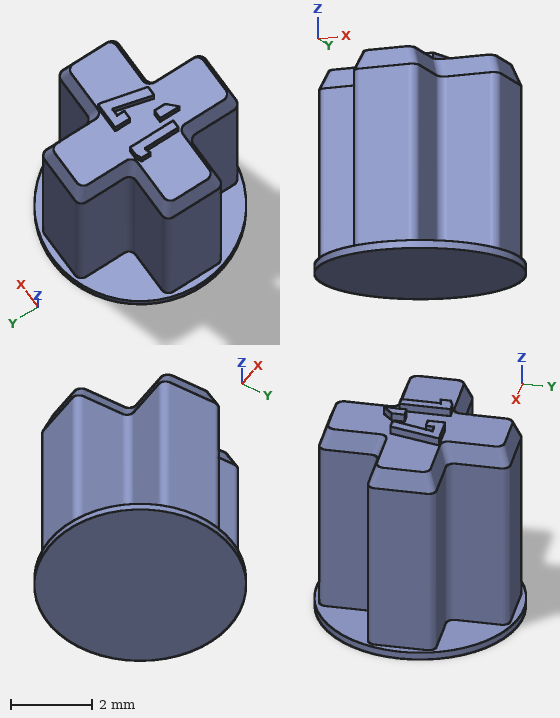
import cadquery as cq

total_height = 5.4
disc_diameter = 5.21
disc_thickness = 0.2
cross_span = 4.795
arm_width = 1.715
corner_radius = 0.2
taper_height = 0.5
taper_inset = 0.185
mark_height = 0.2

cross_top = total_height - mark_height
taper_base = cross_top - taper_height

figure_top = 0.655
figure_base = -0.63
figure_shoulder = 0.58

one_left = -0.9
one_stem_left = -0.735
one_stem_right = -0.51
figure_one = [
    (one_stem_left, figure_top),
    (one_stem_right, figure_top),
    (one_stem_right, figure_base),
    (one_stem_left, figure_base),
    (one_stem_left, 0.365),
    (one_left, 0.32),
    (one_left, figure_shoulder),
]

comma_left = -0.28
comma_right = -0.025
comma_top = -0.4
comma = [
    (comma_left, comma_top),
    (comma_right, comma_top),
    (comma_right, -0.725),
    (comma_left, -0.97),
]

seven_left = 0.135
seven_right = 0.885
seven_notch_left = 0.385
seven_notch_top = 0.425
seven_hook_base = 0.215
figure_seven = [
    (seven_left, figure_top),
    (seven_right, figure_top),
    (seven_right, figure_shoulder),
    (0.59, figure_base),
    (0.32, figure_base),
    (0.595, seven_notch_top),
    (seven_notch_left, seven_notch_top),
    (seven_notch_left, seven_hook_base),
    (seven_left, seven_hook_base),
]


def cross_sketch(inset):
    """Rounded cross whose sides are all moved inwards by the inset."""
    span = cross_span - 2 * inset
    width = arm_width - 2 * inset
    return (
        cq.Sketch()
        .rect(span, width)
        .rect(width, span)
        .clean()
        .vertices()
        .fillet(corner_radius)
    )


def base_disc():
    return cq.Workplane("XY").circle(disc_diameter / 2).extrude(disc_thickness)


def cross_shaft():
    """Straight part of the cross, standing on the disc."""
    height = taper_base - disc_thickness
    return (
        cq.Workplane("XY", origin=(0, 0, disc_thickness))
        .placeSketch(cross_sketch(0))
        .extrude(height)
    )


def cross_taper():
    """Narrowing top end of the cross, with constant corner radii."""
    top_location = cq.Location(cq.Vector(0, 0, taper_height))
    return (
        cq.Workplane("XY", origin=(0, 0, taper_base))
        .placeSketch(cross_sketch(0), cross_sketch(taper_inset).moved(top_location))
        .loft(ruled=True)
    )


def raised_mark(outline):
    return (
        cq.Workplane("XY", origin=(0, 0, cross_top))
        .polyline(outline)
        .close()
        .extrude(mark_height)
    )


result = base_disc().union(cross_shaft()).union(cross_taper())
for mark_outline in (figure_one, comma, figure_seven):
    result = result.union(raised_mark(mark_outline))